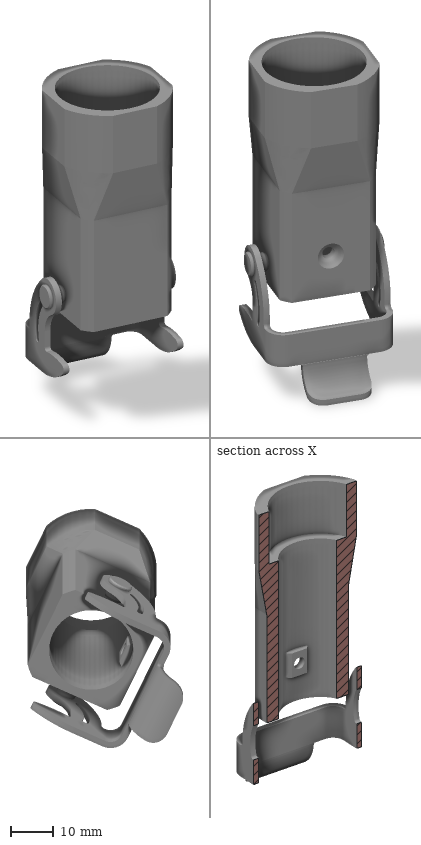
import cadquery as cq
import math

total_height = 80.7

top_side = 28.9
lower_side = 24.2
corner_dia = 31.2
body_bottom = 23.65
taper_bottom = 53.0
taper_top = 65.65
bore_dia = 20.0
gland_bore_dia = 25.0
gland_bore_depth = 14.2

screw_z = 34.55
screw_hole_dia = 3.1
countersink_dia = 6.6
pad_face_width = 4.45
pad_face_x = -8.4
pad_depth = 1.8
pad_height = 6.6

strap_thickness = 1.5
strap_half_width = 16.0
strap_back_x = -14.9
strap_bend_radius = 4.5
band_bottom = 8.2
band_top = 16.8
band_fillet = 0.9

pivot_z = 29.2
eye_radius = 4.5
arm_back_x = -9.45
arm_back_radius = 17.8
arm_back_sweep = 45.0
arm_center_z = 18.8
arm_front_x = -1.45
arm_front_radius = 6.45
slot_center_x = 6.05
slot_radius = 11.7
slot_width = 1.5
slot_start_angle = -15.0
slot_end_angle = 36.0

hook_tip_x = 7.2
hook_tip_z = 13.2
hook_tip_radius = 1.3
hook_belly_radius = 16.15
hook_crown = 0.4
hook_fillet = 0.8

tab_end_x = -21.8
tab_width = 16.15
tab_corner_radius = 4.0
tab_root_fillet = 0.65

pin_head_dia = 6.0
pin_head_end = 16.8
pin_head_chamfer = 0.3
pin_shank_dia = 4.8
pin_shank_end = 12.75
pin_tip_end = 11.7
pin_tip_dia = 3.6


def trimmed_square(side):
    """Closed XY wire: a square whose corners are arcs of the common corner cylinder."""
    half = side / 2
    flat = math.sqrt((corner_dia / 2) ** 2 - half**2)
    corner_mid = corner_dia / 2 / math.sqrt(2)
    return (
        cq.Workplane("XY")
        .moveTo(-flat, -half)
        .lineTo(flat, -half)
        .threePointArc((corner_mid, -corner_mid), (half, -flat))
        .lineTo(half, flat)
        .threePointArc((corner_mid, corner_mid), (flat, half))
        .lineTo(-flat, half)
        .threePointArc((-corner_mid, corner_mid), (-half, flat))
        .lineTo(-half, -flat)
        .threePointArc((-corner_mid, -corner_mid), (-flat, -half))
        .wire()
        .val()
    )


def polar_point(center, radius, angle):
    """Point at the given angle (radians) on a circle in the XZ plane."""
    return (center[0] + radius * math.cos(angle), center[1] + radius * math.sin(angle))


def direction(start, end):
    """Angle (radians) of the line from start to end in the XZ plane."""
    return math.atan2(end[1] - start[1], end[0] - start[0])


def make_body():
    sections = (
        (lower_side, body_bottom),
        (lower_side, taper_bottom),
        (top_side, taper_top),
        (top_side, total_height),
    )
    wires = [trimmed_square(side).moved(cq.Location(cq.Vector(0, 0, z))) for side, z in sections]
    body = cq.Workplane(cq.Solid.makeLoft(wires, True))

    bore = cq.Workplane("XY").circle(bore_dia / 2).extrude(total_height)
    gland_bore = (
        cq.Workplane("XY").workplane(offset=total_height - gland_bore_depth)
        .circle(gland_bore_dia / 2).extrude(gland_bore_depth)
    )
    body = body.cut(bore).cut(gland_bore)

    half_face = pad_face_width / 2
    half_root = half_face + pad_depth
    pad_root_x = pad_face_x - pad_depth
    pad = (
        cq.Workplane("XY", origin=(0, 0, screw_z - pad_height / 2))
        .polyline([
            (pad_root_x, -half_root),
            (pad_face_x, -half_face),
            (pad_face_x, half_face),
            (pad_root_x, half_root),
        ])
        .close()
        .extrude(pad_height)
    )
    countersink_depth = (countersink_dia - screw_hole_dia) / 2
    screw = cq.Workplane("YZ", origin=(-lower_side / 2, 0, screw_z))
    screw_hole = screw.circle(screw_hole_dia / 2).extrude(lower_side / 2)
    countersink = (
        screw.circle(countersink_dia / 2)
        .workplane(offset=countersink_depth)
        .circle(screw_hole_dia / 2)
        .loft()
    )
    return body.union(pad).cut(countersink).cut(screw_hole)


def lever_side_profile():
    """Side outline of the strap in the XZ plane, from the band round the arm to the hook."""
    eye = (0, pivot_z)
    tip = (hook_tip_x, hook_tip_z)
    back_center = (arm_back_x + arm_back_radius, arm_center_z)

    back_end_angle = math.radians(180 - arm_back_sweep)
    back_start = (arm_back_x, arm_center_z)
    back_mid = polar_point(back_center, arm_back_radius, math.radians(180 - arm_back_sweep / 2))
    back_end = polar_point(back_center, arm_back_radius, back_end_angle)
    eye_start = polar_point(eye, eye_radius, back_end_angle)

    front_x = arm_front_x + arm_front_radius
    front_center = (front_x, pivot_z - math.sqrt((eye_radius + arm_front_radius) ** 2 - front_x**2))
    eye_to_front = direction(eye, front_center)
    eye_mid = polar_point(eye, eye_radius, (back_end_angle + eye_to_front) / 2)
    eye_end = polar_point(eye, eye_radius, eye_to_front)
    front_start_angle = eye_to_front + math.pi
    front_mid = polar_point(front_center, arm_front_radius, (front_start_angle + math.pi) / 2)
    front_end = (arm_front_x, front_center[1])

    hook_top = hook_tip_z + hook_tip_radius
    belly_z = band_bottom + hook_belly_radius
    belly_gap = hook_belly_radius - hook_tip_radius
    belly_center = (hook_tip_x - math.sqrt(belly_gap**2 - (belly_z - hook_tip_z) ** 2), belly_z)
    tip_angle = direction(belly_center, tip)
    tip_mid = polar_point(tip, hook_tip_radius, (math.pi / 2 + tip_angle) / 2)
    tip_end = polar_point(tip, hook_tip_radius, tip_angle)
    belly_mid = polar_point(belly_center, hook_belly_radius, (tip_angle - math.pi / 2) / 2)
    belly_end = (belly_center[0], band_bottom)
    crown_start = (arm_front_x + hook_fillet, hook_top)
    crown_mid = ((crown_start[0] + hook_tip_x) / 2, hook_top + hook_crown)

    return (
        cq.Workplane("XZ")
        .moveTo(strap_back_x, band_bottom)
        .lineTo(strap_back_x, band_top)
        .lineTo(arm_back_x - band_fillet, band_top)
        .radiusArc((arm_back_x, band_top + band_fillet), -band_fillet)
        .lineTo(*back_start)
        .threePointArc(back_mid, back_end)
        .lineTo(*eye_start)
        .threePointArc(eye_mid, eye_end)
        .threePointArc(front_mid, front_end)
        .lineTo(arm_front_x, hook_top + hook_fillet)
        .radiusArc(crown_start, -hook_fillet)
        .threePointArc(crown_mid, (hook_tip_x, hook_top))
        .threePointArc(tip_mid, tip_end)
        .threePointArc(belly_mid, belly_end)
        .close()
    )


def slot_profile():
    """Arc-shaped slot with round ends along the middle of the arm."""
    center = (slot_center_x, arm_center_z)
    start = math.pi - math.radians(slot_start_angle)
    end = math.pi - math.radians(slot_end_angle)
    cap = slot_width / 2 / slot_radius
    outer = slot_radius + slot_width / 2
    inner = slot_radius - slot_width / 2
    middle = (start + end) / 2
    return (
        cq.Workplane("XZ")
        .moveTo(*polar_point(center, outer, start))
        .threePointArc(polar_point(center, outer, middle), polar_point(center, outer, end))
        .threePointArc(polar_point(center, slot_radius, end - cap), polar_point(center, inner, end))
        .threePointArc(polar_point(center, inner, middle), polar_point(center, inner, start))
        .threePointArc(polar_point(center, slot_radius, start + cap), polar_point(center, outer, start))
        .close()
    )


def u_block(inset):
    """Block with rounded back corners, shrunk by the inset on its back and sides."""
    back = strap_back_x + inset
    length = hook_tip_x + hook_tip_radius - back
    return (
        cq.Workplane("XY")
        .center(back + length / 2, 0)
        .rect(length, 2 * (strap_half_width - inset))
        .extrude(total_height)
        .edges("|Z and <X")
        .fillet(strap_bend_radius - inset)
    )


def make_tab():
    """Thumb tab that curls a quarter turn down and back from the band."""
    outer_radius = band_bottom
    inner_radius = outer_radius - strap_thickness
    curl = (
        cq.Workplane("XZ")
        .moveTo(tab_end_x, 0)
        .radiusArc((tab_end_x + outer_radius, band_bottom), -outer_radius)
        .lineTo(tab_end_x + inner_radius, band_bottom)
        .radiusArc((tab_end_x, strap_thickness), inner_radius)
        .close()
        .extrude(tab_width / 2 + tab_root_fillet, both=True)
    )
    plan = (
        cq.Workplane("XY")
        .center(tab_end_x + outer_radius / 2, 0)
        .rect(outer_radius, tab_width)
        .extrude(band_bottom)
        .edges("|Z and <X")
        .fillet(tab_corner_radius)
    )
    side = tab_width / 2
    root = (
        cq.Workplane("YZ", origin=(tab_end_x + inner_radius - strap_thickness / 2, 0, 0))
        .moveTo(-side - tab_root_fillet, band_bottom)
        .radiusArc((-side, band_bottom - tab_root_fillet), tab_root_fillet)
        .lineTo(side, band_bottom - tab_root_fillet)
        .radiusArc((side + tab_root_fillet, band_bottom), tab_root_fillet)
        .close()
        .extrude(2 * strap_thickness)
    )
    return curl.intersect(plan.union(root))


def make_lever():
    strap = u_block(0).cut(u_block(strap_thickness))
    strap = strap.intersect(lever_side_profile().extrude(strap_half_width, both=True))
    strap = strap.cut(slot_profile().extrude(strap_half_width, both=True))
    return strap.union(make_tab())


def make_pin():
    """Headed pivot pin on the +Y side, ending with a cone seated in the body wall."""
    head_radius = pin_head_dia / 2
    shank_radius = pin_shank_dia / 2
    return (
        cq.Workplane("XY")
        .moveTo(0, pin_tip_end)
        .lineTo(pin_tip_dia / 2, pin_tip_end)
        .lineTo(shank_radius, pin_shank_end)
        .lineTo(shank_radius, strap_half_width)
        .lineTo(head_radius, strap_half_width)
        .lineTo(head_radius, pin_head_end - pin_head_chamfer)
        .lineTo(head_radius - pin_head_chamfer, pin_head_end)
        .lineTo(0, pin_head_end)
        .close()
        .revolve(360, (0, 0, 0), (0, 1, 0))
        .translate((0, 0, pivot_z))
    )


pin = make_pin()
result = make_body().union(make_lever()).union(pin).union(pin.mirror("XZ"))